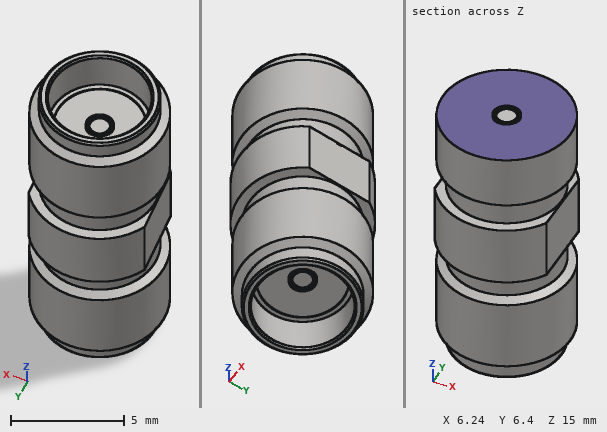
import cadquery as cq

length = 15.0
half_length = length / 2

neck_radius = 2.7
sleeve_radius = 3.12
rim_chamfer_width = 0.09
rim_chamfer_height = 0.1
sleeve_end_gap = 0.84
sleeve_length = 3.99
sleeve_chamfer_height = 0.22

collar_length = 3.0
collar_diameter = 6.4
collar_flat_width = 5.49

socket_radius = 2.3
socket_depth = 1.94
mouth_chamfer = 0.09
insulator_radius = 2.05
insulator_recess = 0.05

contact_radius = 0.63
contact_wall_outer_radius = 0.55
contact_bore_radius = 0.46
contact_gap_depth = 0.08
contact_bore_depth = 0.08


def cylinder(radius, bottom, height):
    return cq.Workplane("XY").workplane(offset=bottom).circle(radius).extrude(height)


def make_sleeve():
    """Upper coupling sleeve with a conical bevel at both ends."""
    top = half_length - sleeve_end_gap
    bottom = top - sleeve_length
    profile = [
        (0, bottom),
        (neck_radius, bottom),
        (sleeve_radius, bottom + sleeve_chamfer_height),
        (sleeve_radius, top - sleeve_chamfer_height),
        (neck_radius, top),
        (0, top),
    ]
    return cq.Workplane("XZ").polyline(profile).close().revolve(360, (0, 0), (0, 1))


def make_core():
    """Full-length barrel with a beveled outer edge at each end."""
    profile = [
        (0, -half_length),
        (neck_radius - rim_chamfer_width, -half_length),
        (neck_radius, -half_length + rim_chamfer_height),
        (neck_radius, half_length - rim_chamfer_height),
        (neck_radius - rim_chamfer_width, half_length),
        (0, half_length),
    ]
    return cq.Workplane("XZ").polyline(profile).close().revolve(360, (0, 0), (0, 1))


def make_collar():
    """Round collar with two wrench flats facing -X and +X."""
    disc = cylinder(collar_diameter / 2, -collar_length / 2, collar_length)
    flats = cq.Workplane("XY").box(collar_flat_width, collar_diameter, collar_length)
    return disc.intersect(flats)


def make_socket():
    """Material removed from the upper end, down to the contact."""
    floor = half_length - socket_depth
    insulator_face = floor - insulator_recess
    mouth_profile = [
        (0, floor),
        (socket_radius, floor),
        (socket_radius, half_length - mouth_chamfer),
        (socket_radius + mouth_chamfer, half_length),
        (0, half_length),
    ]
    mouth = cq.Workplane("XZ").polyline(mouth_profile).close().revolve(360, (0, 0), (0, 1))
    recess = cylinder(insulator_radius, insulator_face, insulator_recess)
    contact_gap = (
        cq.Workplane("XY")
        .workplane(offset=insulator_face)
        .circle(contact_radius)
        .circle(contact_wall_outer_radius)
        .extrude(-contact_gap_depth)
    )
    contact_bore = cylinder(contact_bore_radius, insulator_face, -contact_bore_depth)
    return mouth.union(recess).union(contact_gap).union(contact_bore)


upper_sleeve = make_sleeve()
body = make_core().union(make_collar()).union(upper_sleeve).union(upper_sleeve.mirror("XY"))
upper_socket = make_socket()
result = body.cut(upper_socket).cut(upper_socket.mirror("XY"))